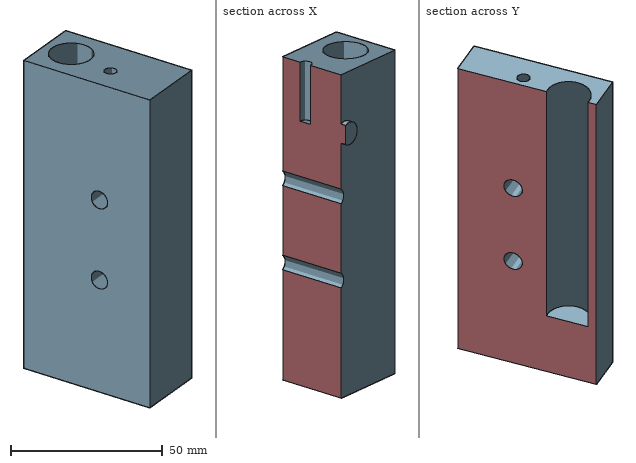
import cadquery as cq

width = 50.0
height = 115.5
boss_length = 2.0
overall_depth = 27.0
depth = overall_depth - boss_length

boss_diameter = 8.0
boss_x = 26.1
boss_below_top = 21.0

bore_diameter = 15.0
bore_x = 10.5
bore_y = depth / 2
bore_depth = 92.4
port_diameter = 4.3
port_x = 28.0
port_y = 9.7
port_depth = boss_below_top

mount_diameter = 6.5
mount_x = 30.0
mount_spacing = 30.0
mount_lower_z = 42.0


def top_hole(x, y, diameter, hole_depth):
    """Cutter for a flat-bottomed hole going down from the top face."""
    return (
        cq.Workplane("XY", origin=(x, y, height))
        .circle(diameter / 2)
        .extrude(-hole_depth)
    )


def cylinder_along_y(x, z, diameter, y_start, length):
    """Cylinder starting at y_start and running toward +Y."""
    return (
        cq.Workplane("XZ", origin=(x, y_start, z))
        .circle(diameter / 2)
        .extrude(-length)
    )


result = cq.Workplane("XY").box(width, depth, height, centered=False)

boss_z = height - boss_below_top
result = result.union(cylinder_along_y(boss_x, boss_z, boss_diameter, depth, boss_length))

result = result.cut(top_hole(bore_x, bore_y, bore_diameter, bore_depth))
result = result.cut(top_hole(port_x, port_y, port_diameter, port_depth))

for mount_z in (mount_lower_z, mount_lower_z + mount_spacing):
    result = result.cut(cylinder_along_y(mount_x, mount_z, mount_diameter, 0, depth))